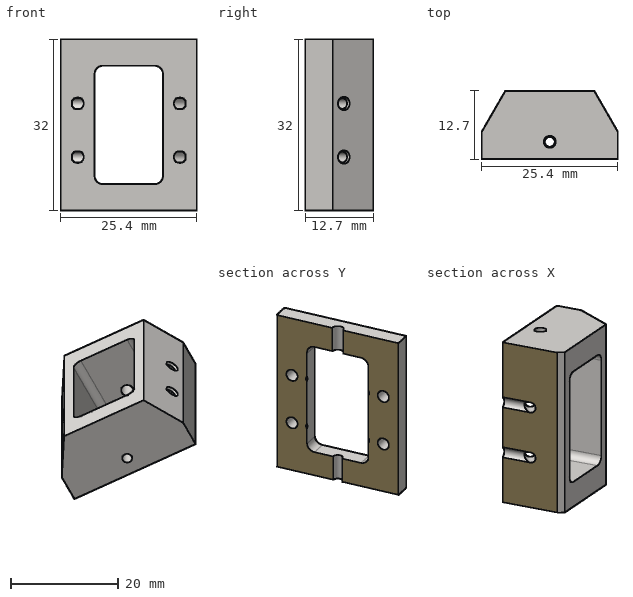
import cadquery as cq
import math

width = 25.4
depth = width / 2
height = 32.0
straight_side_depth = 5.1
slope_angle = 30.0
slope_inset = (depth - straight_side_depth) * math.tan(math.radians(slope_angle))

window_width = width / 2
window_height = 22.0
window_corner_radius = 1.5

wide_hole_diameter = 2.25
lower_hole_diameter = 1.82
end_hole_y = 3.2

side_hole_spacing = 10.0
side_hole_centre_z = -1.0
front_hole_x = (width + window_width) / 4
angled_hole_y = 7.2
angled_hole_diameter = 2.0
mouth_diameter = 2.5
mouth_depth = 0.5


def make_block():
    half = width / 2
    outline = [
        (-half, 0),
        (half, 0),
        (half, straight_side_depth),
        (half - slope_inset, depth),
        (slope_inset - half, depth),
        (-half, straight_side_depth),
    ]
    return cq.Workplane("XY").workplane(offset=-height / 2).polyline(outline).close().extrude(height)


def make_window():
    window = cq.Workplane("XY").box(window_width, depth, window_height)
    return window.translate((0, depth / 2, 0)).edges("|Y").fillet(window_corner_radius)


def make_cylinder(diameter, length, start, direction):
    return cq.Workplane(cq.Solid.makeCylinder(diameter / 2, length, cq.Vector(*start), cq.Vector(*direction)))


def make_end_holes():
    upper = make_cylinder(wide_hole_diameter, height / 2, (0, end_hole_y, 0), (0, 0, 1))
    lower = make_cylinder(lower_hole_diameter, height / 2, (0, end_hole_y, 0), (0, 0, -1))
    return upper.union(lower)


def make_side_holes(side, z):
    """Angled hole with a countersunk mouth, and the front hole that ends on its axis."""
    angle = math.radians(slope_angle)
    mouth_x = width / 2 - (angled_hole_y - straight_side_depth) * math.tan(angle)
    mouth = (side * mouth_x, angled_hole_y, z)
    inward = (-side * math.cos(angle), -math.sin(angle), 0)
    bore_length = mouth_x / math.cos(angle) - window_width / 4
    bore = make_cylinder(angled_hole_diameter, bore_length, mouth, inward)
    countersink = cq.Workplane(
        cq.Solid.makeCone(
            mouth_diameter / 2,
            angled_hole_diameter / 2,
            mouth_depth,
            cq.Vector(*mouth),
            cq.Vector(*inward),
        )
    )
    front_depth = angled_hole_y - (mouth_x - front_hole_x) * math.tan(angle)
    front = make_cylinder(wide_hole_diameter, front_depth, (side * front_hole_x, 0, z), (0, 1, 0))
    return bore.union(countersink).union(front)


result = make_block().cut(make_window()).cut(make_end_holes())
for side in (-1, 1):
    for offset in (-side_hole_spacing / 2, side_hole_spacing / 2):
        result = result.cut(make_side_holes(side, side_hole_centre_z + offset))